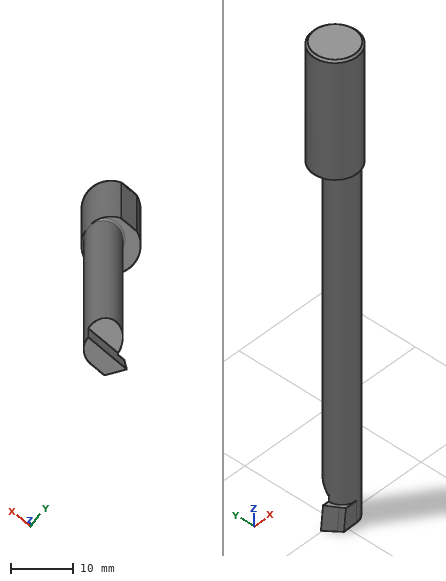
import cadquery as cq

total_length = 101.6

shank_diameter = 9.5
shank_length = 25.2
shank_chamfer = 0.4
flat_depth = 0.3

neck_diameter = 6.3
neck_fillet = 0.3
relief_height = 6.3

tooth_height = 5.1
tooth_lean = 0.5
tip_x = -3.4
heel_x = -1.9
heel_y = -2.2
corner_x = -1.3
end_slope_x = 0.03
end_slope_y = 0.08

shank_radius = shank_diameter / 2
neck_radius = neck_diameter / 2
neck_x = shank_radius - neck_radius
shank_bottom = total_length - shank_length


def make_shank():
    """Round shank with a chamfered top rim and a full-length flat."""
    shank = (
        cq.Workplane("XY", origin=(0, 0, shank_bottom))
        .circle(shank_radius)
        .extrude(shank_length)
        .faces(">Z")
        .chamfer(shank_chamfer)
    )
    flat_cut = (
        cq.Workplane("XY", origin=(0, shank_radius - flat_depth, shank_bottom))
        .rect(shank_diameter, 2 * flat_depth)
        .extrude(shank_length)
        .translate((0, flat_depth, 0))
    )
    return shank.cut(flat_cut)


def make_neck():
    """Eccentric round neck, with its root flared into the shank."""
    neck = (
        cq.Workplane("XY", origin=(neck_x, 0, 0))
        .circle(neck_radius)
        .extrude(shank_bottom)
    )
    flare = (
        cq.Workplane("XZ", origin=(neck_x, 0, 0))
        .moveTo(0, shank_bottom)
        .lineTo(neck_radius + neck_fillet, shank_bottom)
        .radiusArc((neck_radius, shank_bottom - neck_fillet), -neck_fillet)
        .lineTo(0, shank_bottom - neck_fillet)
        .close()
        .revolve(360, (0, 0, 0), (0, 1, 0))
    )
    shank_envelope = (
        cq.Workplane("XY").circle(shank_radius).extrude(total_length)
    )
    return neck.union(flare.intersect(shank_envelope))


def tooth_outline(lean):
    """Plan of the tooth, its cutting side moved along X by the lean."""
    return [
        (neck_x, 0),
        (tip_x + lean, 0),
        (heel_x + lean, heel_y),
        (corner_x + lean, -neck_radius),
        (neck_x, -neck_radius),
    ]


def make_tooth():
    """Faceted tooth that leans inwards from its bottom to its top."""
    return (
        cq.Workplane("XY")
        .polyline(tooth_outline(0))
        .close()
        .workplane(offset=tooth_height)
        .polyline(tooth_outline(tooth_lean))
        .close()
        .loft(ruled=True)
    )


def make_rake_cut():
    """Clears the +Y half of the lower end, run out at 45 degrees."""
    reach = shank_diameter
    return (
        cq.Workplane("YZ")
        .polyline([(0, 0), (reach, 0), (reach, relief_height + reach), (0, relief_height)])
        .close()
        .extrude(reach, both=True)
    )


def make_end_relief():
    """Slab below the sloping end face, which leaves the tip lowest."""
    size = 4 * shank_diameter
    slope_normal = (end_slope_x, -end_slope_y, -1)
    end_plane = cq.Plane(origin=(tip_x, 0, 0), xDir=(1, 0, end_slope_x), normal=slope_normal)
    return cq.Workplane(end_plane).rect(size, size).extrude(shank_diameter)


body = make_shank().union(make_neck()).union(make_tooth())
result = body.cut(make_rake_cut()).cut(make_end_relief())